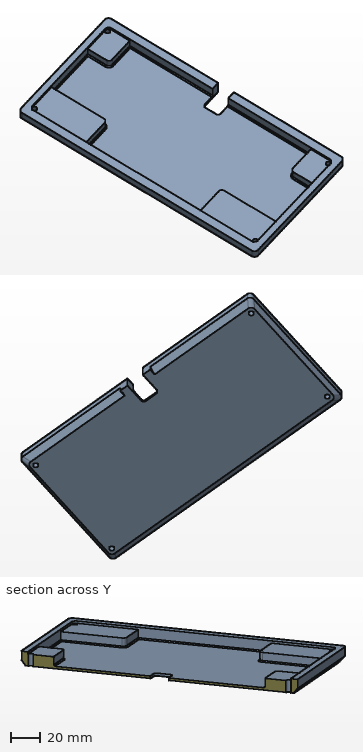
import cadquery as cq

LENGTH = 203.5
WIDTH = 101.7
HEIGHT = 10.4
CORNER_RADIUS = 3.0

BEVEL_HEIGHT = 3.9
BEVEL_END_INSET = 3.0
BEVEL_SIDE_INSET = 4.9

END_WALL = 5.0
SIDE_WALL = 6.5
FLOOR_THICKNESS = 2.0
POCKET_CORNER_RADIUS = 2.6
FLOOR_CHAMFER = 0.92

PAD_DROP = 1.6
PAD_CORNER_RADIUS = 2.6
FRONT_PAD_REACH_X = 52.7
FRONT_PAD_REACH_Y = 31.0
BACK_PAD_REACH_X = 24.0
BACK_PAD_REACH_Y = 29.5

HOLE_DIAMETER = 3.5
HOLE_END_INSET = 7.0
HOLE_SIDE_INSET = 9.2

NOTCH_WIDTH = 13.5
NOTCH_DEPTH = 17.3
NOTCH_CORNER_RADIUS = 2.0
NOTCH_BLOCK_MARGIN = SIDE_WALL


def rounded_block(length, width, bottom, top, radius):
    """Centred rectangular block with rounded vertical edges."""
    block = cq.Workplane("XY").workplane(offset=bottom).rect(length, width).extrude(top - bottom)
    return block.edges("|Z").fillet(radius)


def make_body():
    """Solid tray blank: straight upper band above a bevelled underside."""
    band = rounded_block(LENGTH, WIDTH, BEVEL_HEIGHT, HEIGHT, CORNER_RADIUS)
    bottom_length = LENGTH - 2 * BEVEL_END_INSET
    bottom_width = WIDTH - 2 * BEVEL_SIDE_INSET
    bottom_outline = cq.Sketch().rect(bottom_length, bottom_width).vertices().fillet(CORNER_RADIUS)
    top_outline = cq.Sketch().rect(LENGTH, WIDTH).vertices().fillet(CORNER_RADIUS)
    bevel = (
        cq.Workplane("XY")
        .placeSketch(bottom_outline, top_outline.moved(cq.Location(cq.Vector(0, 0, BEVEL_HEIGHT))))
        .loft()
    )
    return band.union(bevel)


def make_pad(side, end, reach_x, reach_y):
    """Corner pad, oversized past the pocket walls; side and end are the signs of its X and Y corner."""
    return (
        cq.Workplane("XY")
        .workplane(offset=FLOOR_THICKNESS)
        .center(side * LENGTH / 2, end * WIDTH / 2)
        .rect(2 * reach_x, 2 * reach_y)
        .extrude(HEIGHT - PAD_DROP - FLOOR_THICKNESS)
        .edges("|Z")
        .fillet(PAD_CORNER_RADIUS)
    )


def make_pocket():
    """Pocket volume: the open tray interior less the four corner pads."""
    pocket = rounded_block(
        LENGTH - 2 * END_WALL, WIDTH - 2 * SIDE_WALL, FLOOR_THICKNESS, HEIGHT, POCKET_CORNER_RADIUS
    )
    for side in (-1, 1):
        pocket = pocket.cut(make_pad(side, -1, FRONT_PAD_REACH_X, FRONT_PAD_REACH_Y))
        pocket = pocket.cut(make_pad(side, 1, BACK_PAD_REACH_X, BACK_PAD_REACH_Y))
    return pocket.faces("<Z").edges().chamfer(FLOOR_CHAMFER)


def make_notch_block():
    """Block that fills the back bevel on both sides of the notch."""
    block_width = NOTCH_WIDTH + 2 * NOTCH_BLOCK_MARGIN
    return (
        cq.Workplane("XY")
        .center(0, (WIDTH - SIDE_WALL) / 2)
        .rect(block_width, SIDE_WALL)
        .extrude(BEVEL_HEIGHT)
    )


def make_notch():
    """Slot through the full height, open at the back and rounded inside."""
    return (
        cq.Workplane("XY")
        .center(0, WIDTH / 2)
        .rect(NOTCH_WIDTH, 2 * NOTCH_DEPTH)
        .extrude(HEIGHT)
        .edges("|Z")
        .fillet(NOTCH_CORNER_RADIUS)
    )


def make_screw_holes():
    """Four through holes, one in each pad."""
    return (
        cq.Workplane("XY")
        .rect(LENGTH - 2 * HOLE_END_INSET, WIDTH - 2 * HOLE_SIDE_INSET, forConstruction=True)
        .vertices()
        .circle(HOLE_DIAMETER / 2)
        .extrude(HEIGHT)
    )


result = (
    make_body()
    .union(make_notch_block())
    .cut(make_pocket())
    .cut(make_notch())
    .cut(make_screw_holes())
)